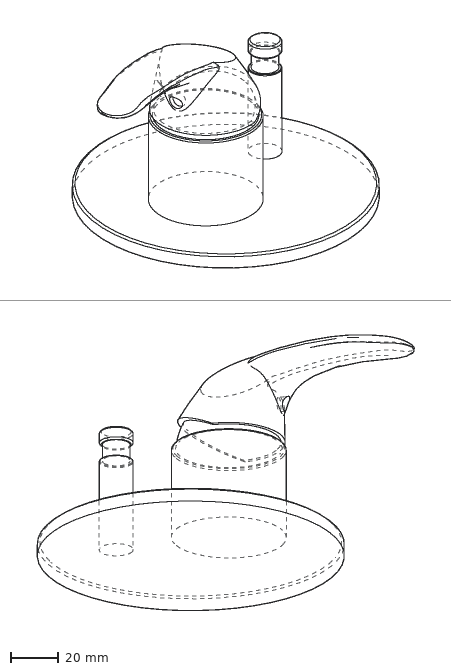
import cadquery as cq
import math

plate_radius = 65.1
plate_rim_height = 5.4
plate_edge_rise = 0.8
plate_edge_inset = 1.1
plate_height = 6.7

body_y = -16.8
body_radius = 24.4
body_top = 46.8
body_chamfer = 0.7
dome_radius = 22.5
dome_shoulder = (19.3, 57.7)
dome_top = 65.5
dome_top_radius = 13.7

rod_y = 33.0
rod_radius = 7.2
rod_shaft_chamfer = 0.3
rod_cap_chamfer = 0.8
rod_dish_radius = 5.9
rod_dish_depth = 0.7
rod_neck_radius = 5.9
rod_neck_bottom = body_top
rod_neck_top = 54.1
rod_top = 60.0

hood_bottom = 49.5
hood_radius = 23.9
hood_waist_z = 59.2
hood_waist_radius = 21.6
hood_top = 85.0
hood_top_half_width = 12.8
hood_top_back = -14.0
hood_front = body_y - hood_radius
hood_cut_end = (4.7, 59.2)
plug_radius = 3.1
plug_z = 64.3
plug_depth = 1.6

crown_line = [(8.2, 65.7), (-5.2, 73.5), (-29.1, 82.8), (-55.3, 88.3), (-69.2, 89.1), (-87.7, 87.5), (-98.5, 84.2)]
crown_half_width = 26.2
crown_drop = 5.7

lever_wall = 8.2
underside_steps = 8
underside_power = 1.4
rim_inset_share = 0.11
rim_rise = 2.0
rim_bulge = 0.3

lever_sections = [
    ((-40.2, 58.9), (-21.3, 72.8), 14.4),
    ((-42.9, 65.5), (-29.5, 78.8), 14.2),
    ((-46.8, 72.0), (-38.5, 82.5), 13.9),
    ((-53.2, 76.7), (-48.7, 84.5), 13.4),
    ((-62.1, 79.6), (-60.5, 86.0), 12.8),
    ((-75.2, 80.8), (-75.2, 86.5), 11.5),
    ((-86.7, 80.8), (-86.7, 85.0), 10.1),
    ((-93.9, 81.1), (-93.9, 84.2), 8.3),
    ((-97.0, 82.3), (-97.0, 83.5), 5.2),
    ((-98.5, 83.1), (-98.5, 83.4), 1.3),
]


def make_plate():
    edge_top = plate_rim_height + plate_edge_rise
    edge_radius = plate_radius - plate_edge_inset
    profile = (
        cq.Workplane("XZ")
        .lineTo(plate_radius, 0)
        .lineTo(plate_radius, plate_rim_height)
        .lineTo(edge_radius, edge_top)
        .lineTo(0, plate_height)
        .close()
    )
    return profile.revolve(360, (0, 0), (0, 1))


def make_body():
    body = cq.Workplane("XY").center(0, body_y).circle(body_radius).extrude(body_top)
    return body.faces(">Z").edges().chamfer(body_chamfer)


def make_dome():
    profile = (
        cq.Workplane("XZ")
        .lineTo(dome_radius, 0)
        .lineTo(dome_radius, body_top)
        .threePointArc(dome_shoulder, (dome_top_radius, dome_top))
        .lineTo(0, dome_top)
        .close()
    )
    return profile.revolve(360, (0, 0), (0, 1)).translate((0, body_y, 0))


def make_rod():
    rod = cq.Workplane("XY").center(0, rod_y)
    shaft = rod.circle(rod_radius).extrude(rod_neck_bottom).faces(">Z").edges().chamfer(rod_shaft_chamfer)
    neck = rod.circle(rod_neck_radius).extrude(rod_top)
    cap = rod.workplane(offset=rod_neck_top).circle(rod_radius).extrude(rod_top - rod_neck_top)
    dish_sphere_radius = (rod_dish_radius**2 + rod_dish_depth**2) / (2 * rod_dish_depth)
    dish_centre_z = rod_top - rod_dish_depth + dish_sphere_radius
    dish = cq.Workplane("XY", origin=(0, rod_y, dish_centre_z)).sphere(dish_sphere_radius)
    return shaft.union(neck).union(cap.edges().chamfer(rod_cap_chamfer)).cut(dish)


def make_hood():
    waist_back = body_y + hood_waist_radius
    waist_centre_y = (waist_back + hood_front) / 2
    top_centre_y = (hood_top_back + hood_front) / 2
    return (
        cq.Workplane("XY", origin=(0, body_y, hood_bottom))
        .ellipse(hood_radius, hood_radius)
        .workplane(offset=hood_waist_z - hood_bottom)
        .center(0, waist_centre_y - body_y)
        .ellipse(hood_waist_radius, (waist_back - hood_front) / 2)
        .workplane(offset=hood_top - hood_waist_z)
        .center(0, top_centre_y - waist_centre_y)
        .ellipse(hood_top_half_width, (hood_top_back - hood_front) / 2)
        .loft(combine=True)
    )


def lever_section(underside, widest, half_width):
    bottom = cq.Vector(0, *underside)
    level = cq.Vector(0, *widest)
    depth = (level - bottom).Length
    up = (level - bottom).normalized()
    rim_inset = rim_inset_share * half_width
    rim_half_width = half_width - rim_inset

    def point(across, rise):
        return level + cq.Vector(across, 0, 0) + up * rise

    def rim(side):
        return cq.Edge.makeThreePointArc(
            point(side * half_width, 0),
            point(side * (half_width - rim_inset / 2 + rim_bulge), rim_rise / 2),
            point(side * rim_half_width, rim_rise),
        )

    underside_points = []
    for step in range(underside_steps + 1):
        angle = math.pi * step / underside_steps
        across = half_width * math.cos(angle)
        fullness = max(math.sin(angle), 0) ** underside_power
        underside_points.append(point(across, -depth * fullness))
    return cq.Wire.assembleEdges([
        cq.Edge.makeSpline(underside_points, tangents=[up * -1, up]),
        rim(-1),
        cq.Edge.makeLine(point(-rim_half_width, rim_rise), point(-rim_half_width, lever_wall)),
        cq.Edge.makeLine(point(-rim_half_width, lever_wall), point(rim_half_width, lever_wall)),
        cq.Edge.makeLine(point(rim_half_width, lever_wall), point(rim_half_width, rim_rise)),
        rim(1),
    ])


def make_lever():
    return cq.Workplane(obj=cq.Solid.makeLoft([lever_section(*section) for section in lever_sections]))


def crown_section(x, drop):
    points = [cq.Vector(x, y, z - drop) for y, z in crown_line]
    back = cq.Vector(x, points[0].y, 0)
    front = cq.Vector(x, points[-1].y, 0)
    return cq.Wire.assembleEdges([
        cq.Edge.makeSpline(points),
        cq.Edge.makeLine(points[-1], front),
        cq.Edge.makeLine(front, back),
        cq.Edge.makeLine(back, points[0]),
    ])


def make_space_under_crown():
    return cq.Workplane(obj=cq.Solid.makeLoft([
        crown_section(-crown_half_width, crown_drop),
        crown_section(0, 0),
        crown_section(crown_half_width, crown_drop),
    ]))


def make_handle():
    handle = make_hood().union(make_lever()).intersect(make_space_under_crown())
    slope = (hood_cut_end[1] - hood_bottom) / (hood_cut_end[0] - body_y)
    reach = 2 * hood_radius
    back_cut = (
        cq.Workplane("YZ", origin=(-reach, body_y, hood_bottom))
        .lineTo(reach, 0)
        .lineTo(reach, slope * reach)
        .close()
        .extrude(2 * reach)
    )
    plug_recess = (
        cq.Workplane("XZ", origin=(0, hood_front + plug_depth, plug_z))
        .circle(plug_radius)
        .extrude(reach)
    )
    return handle.cut(back_cut).cut(plug_recess)


result = make_plate().union(make_body()).union(make_dome()).union(make_rod()).union(make_handle())